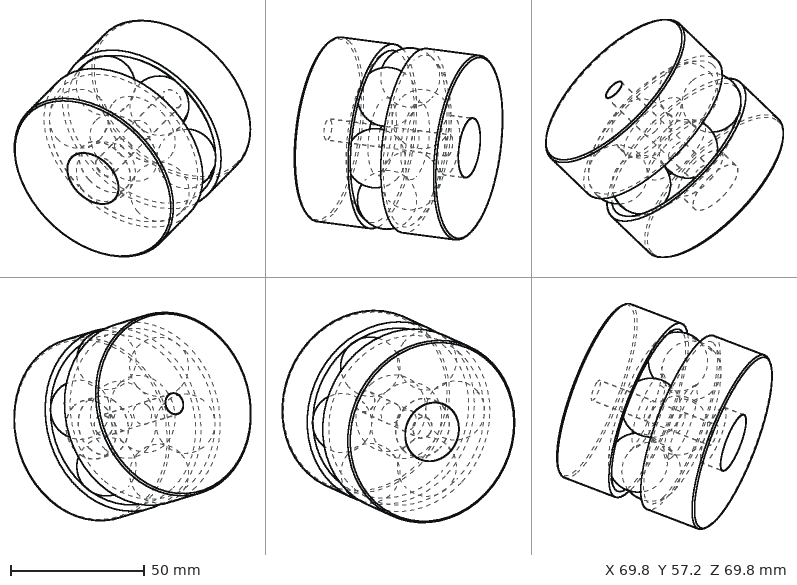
import cadquery as cq
import math

outer_diameter = 69.85
overall_length = 57.15
race_gap = 13.2
edge_chamfer = 0.7

ball_count = 6
ball_diameter = 22.2
pitch_radius = 23.6
groove_radius = ball_diameter / 2

head_diameter = 22.35
head_length = 8.4
shank_diameter = 7.9
hole_clearance = 0.3

half_length = overall_length / 2
half_gap = race_gap / 2
race_thickness = half_length - half_gap


def y_cylinder(diameter, start, length):
    """Cylinder on the Y axis that runs from y = start toward +Y."""
    return (
        cq.Workplane("XZ", origin=(0, start, 0))
        .circle(diameter / 2)
        .extrude(-length)
    )


def make_groove():
    """Ring of circular section that follows the path of the balls."""
    return (
        cq.Workplane("XY")
        .center(pitch_radius, 0)
        .circle(groove_radius)
        .revolve(360, (-pitch_radius, 0), (-pitch_radius, 1))
    )


def make_pin(allowance=0):
    """Headed pin, head flush with the front; the allowance widens it to its clearance hole."""
    head = y_cylinder(head_diameter + allowance, -half_length, head_length)
    shank = y_cylinder(shank_diameter + allowance, -half_length, overall_length)
    return head.union(shank)


def make_race(start, outer_face):
    """Thick disc with a chamfered outer edge, a ball groove and a hole for the pin."""
    disc = y_cylinder(outer_diameter, start, race_thickness)
    disc = disc.faces(outer_face).chamfer(edge_chamfer)
    return disc.cut(make_groove()).cut(make_pin(hole_clearance))


def make_ball(index):
    """Ball number index on the pitch circle; ball 0 lies on the +X axis."""
    angle = math.radians(index * 360 / ball_count)
    center = (pitch_radius * math.cos(angle), 0, pitch_radius * math.sin(angle))
    return cq.Workplane("XY").sphere(ball_diameter / 2).translate(center)


front_race = make_race(-half_length, "<Y")
rear_race = make_race(half_gap, ">Y")
pin = make_pin()
balls = [make_ball(index) for index in range(ball_count)]

result = cq.Compound.makeCompound(
    [front_race.val(), rear_race.val(), pin.val(), *[ball.val() for ball in balls]]
)